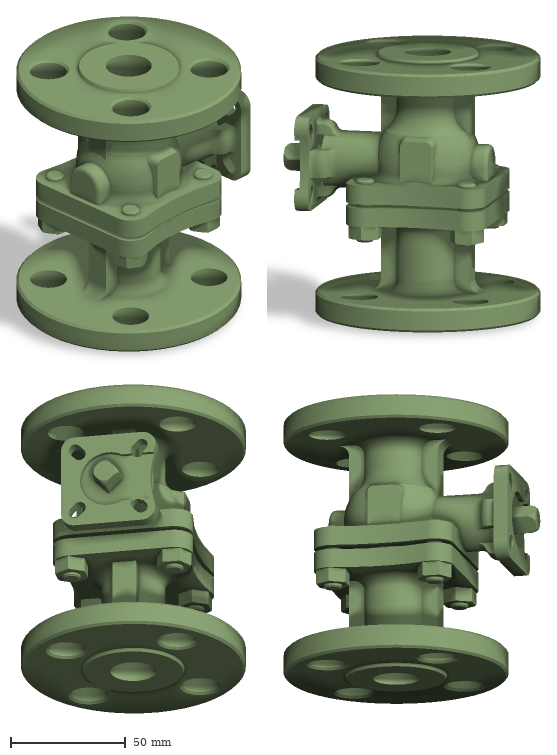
import cadquery as cq
import math

LENGTH = 117.0
HALF_LENGTH = LENGTH / 2
BORE_DIA = 20.0

FLANGE_DIA = 98.0
FLANGE_CHAMFER = 1.0
FACE_HEIGHT = 1.4
FACE_TOP_RADIUS = 21.6
FACE_BASE_RADIUS = 22.3
FLANGE_OUTER_Z = HALF_LENGTH - FACE_HEIGHT
FLANGE_INNER_Z = 46.6
FLANGE_HOLE_DIA = 16.0
FLANGE_HOLE_CHAMFER = 1.0
FLANGE_HOLE_CIRCLE = 70.0
FLANGE_HOLE_COUNT = 4
FLANGE_HOLE_START_ANGLE = 45
FLANGE_HOLE_CHAMFER_ANGLE = 90

NECK_RADIUS = 13.9
FLARE_RADIUS = 4.8
RIB_WIDTH = 10.3
RIB_REACH = 19.9

JOINT_HALF_WIDTH = 31.0
JOINT_CORNER_RADIUS = 8.2
BOLT_OFFSET = JOINT_HALF_WIDTH - JOINT_CORNER_RADIUS
BODY_JOINT_TOP = 3.6
BODY_JOINT_BOTTOM = -4.7
CAP_JOINT_TOP = -6.4
CAP_JOINT_BOTTOM = -14.6
BODY_WAIST_DEPTH = 2.3
CAP_WAIST_DEPTH = 3.5
SPIGOT_RADIUS = 22.8
GASKET_RADIUS = 23.4
SPIGOT_BOTTOM = -5.5

BOLT_DIA = 8.0
BOLT_TOP = 5.3
BOLT_BOTTOM = -22.2
BOLT_CHAMFER = 0.7
NUT_CORNER_DIA = 15.2
NUT_HEIGHT = 6.1
NUT_CHAMFER = 0.5

HOUSING_RADIUS = 22.9
HOUSING_FOOT_FILLET = 3.9
HOUSING_BELT_TOP = 11.3
DOME_TOP_Z = 24.3
SHOULDER_RADIUS = 17.3
SHOULDER_Z = 25.6
NECK_ROOT_RADIUS = 16.1
NECK_ROOT_Z = 27.0
HOUSING_NECK_Z = 33.3

STEM_Z = 9.6
HUB_DIA = 25.0
HUB_END_Y = 45.0
STEM_DIA = 12.2
STEM_ACROSS_FLATS = 9.0
STEM_END_Y = 63.5
STEM_TIP_RADIUS = 4.6
STEM_TIP_LENGTH = 3.3

PLATE_HALF = 21.0
PLATE_BACK_Y = 48.9
PLATE_FRONT_Y = 55.0
PLATE_CORNER_RADIUS = 6.0
PLATE_WAIST_DEPTH = 2.6
RECESS_DEPTH = 2.1
RECESS_MOUTH_WIDTH = 22.0
CORNER_PAD_RADIUS = 5.0
SLOT_WIDTH = 5.5
SLOT_INNER_RADIUS = 18.0
SLOT_OUTER_RADIUS = 21.0
LEG_WIDTH = 12.0
LEG_INNER_RADIUS = 13.0
LEG_OUTER_RADIUS = 17.1
LEG_ROOT_FILLET = 2.0
LEG_BEND_START_Y = 45.4
LEG_BEND_END_Y = 38.0
LEG_OVERLAP = 1.2

BOSS_RADIUS = 9.0
BOSS_REACH = 28.5
BOSS_EDGE_FILLET = 2.0
LUG_REACH = 24.0
LUG_DEPTH = 10.5
LUG_FACE_WIDTH = 13.8
LUG_FACE_TOP = 22.7
LUG_CORNER_RADIUS = 2.3
LUG_DRAFT = 15.0


def disc(radius, z_low, z_high):
    return cq.Workplane("XY").workplane(offset=z_low).circle(radius).extrude(z_high - z_low)


def along_y(y):
    """Plane facing +Y, centred on the stem axis; local x is X and local y is -Z."""
    return cq.Workplane(cq.Plane((0, y, STEM_Z), (1, 0, 0), (0, 1, 0)))


def pipe_flange():
    """Upper pipe flange with raised face and chamfered bolt holes."""
    plate = disc(FLANGE_DIA / 2, FLANGE_INNER_Z, FLANGE_OUTER_Z).edges().chamfer(FLANGE_CHAMFER)
    face = (
        cq.Workplane("XZ")
        .moveTo(0, FLANGE_OUTER_Z)
        .lineTo(FACE_BASE_RADIUS, FLANGE_OUTER_Z)
        .lineTo(FACE_TOP_RADIUS, HALF_LENGTH)
        .lineTo(0, HALF_LENGTH)
        .close()
        .revolve(360, (0, 0, 0), (0, 1, 0))
    )
    chamfer_dia = FLANGE_HOLE_DIA + 2 * FLANGE_HOLE_CHAMFER
    return (
        plate.faces(">Z")
        .workplane(origin=(0, 0, FLANGE_OUTER_Z))
        .polarArray(FLANGE_HOLE_CIRCLE / 2, FLANGE_HOLE_START_ANGLE, 360, FLANGE_HOLE_COUNT)
        .cskHole(FLANGE_HOLE_DIA, chamfer_dia, FLANGE_HOLE_CHAMFER_ANGLE)
        .union(face)
    )


def flared_profile(half_width, z_low, z_high, flare_low, flare_high, plane):
    """Half outline of a column that can flare out through a fillet at either end."""
    flare_mid = FLARE_RADIUS * (1 - math.sqrt(0.5))
    wide = half_width + FLARE_RADIUS
    mid = half_width + flare_mid
    profile = cq.Workplane(plane).moveTo(0, z_low)
    if flare_low:
        profile = profile.lineTo(wide, z_low)
        profile = profile.threePointArc((mid, z_low + flare_mid), (half_width, z_low + FLARE_RADIUS))
    else:
        profile = profile.lineTo(half_width, z_low)
    if flare_high:
        profile = profile.lineTo(half_width, z_high - FLARE_RADIUS)
        profile = profile.threePointArc((mid, z_high - flare_mid), (wide, z_high))
    else:
        profile = profile.lineTo(half_width, z_high)
    return profile.lineTo(0, z_high).close()


def ribbed_neck(z_low, z_high, flare_low, flare_high, rib_flare_low, rib_flare_high):
    """Round neck with a flat rib on its +Y and -Y sides."""
    neck = flared_profile(NECK_RADIUS, z_low, z_high, flare_low, flare_high, "XZ")
    neck = neck.revolve(360, (0, 0, 0), (0, 1, 0))
    rib = flared_profile(RIB_REACH, z_low, z_high, rib_flare_low, rib_flare_high, "YZ")
    rib = rib.extrude(RIB_WIDTH / 2, both=True)
    return neck.union(rib).union(rib.mirror("XZ"))


def housing():
    """Spherical ball housing that narrows to the upper neck."""
    foot_radius = HOUSING_RADIUS + HOUSING_FOOT_FILLET
    dome_height = DOME_TOP_Z - HOUSING_BELT_TOP
    dome_top_radius = math.sqrt(HOUSING_RADIUS**2 - dome_height**2)
    return (
        cq.Workplane("XZ")
        .moveTo(0, FLANGE_INNER_Z)
        .lineTo(NECK_RADIUS, FLANGE_INNER_Z)
        .lineTo(NECK_RADIUS, HOUSING_NECK_Z)
        .tangentArcPoint((NECK_ROOT_RADIUS, NECK_ROOT_Z), relative=False)
        .lineTo(SHOULDER_RADIUS, SHOULDER_Z)
        .lineTo(dome_top_radius, DOME_TOP_Z)
        .radiusArc((HOUSING_RADIUS, HOUSING_BELT_TOP), HOUSING_RADIUS)
        .lineTo(HOUSING_RADIUS, BODY_JOINT_TOP + HOUSING_FOOT_FILLET)
        .tangentArcPoint((foot_radius, BODY_JOINT_TOP), relative=False)
        .lineTo(0, BODY_JOINT_TOP)
        .close()
        .revolve(360, (0, 0, 0), (0, 1, 0))
    )


def waist_tangent(corner_center, corner_radius, waist_depth):
    """Point where a corner arc runs into the inward arc across the middle of a plate side."""
    angle = 2 * math.atan(waist_depth / corner_center)
    across = corner_center + corner_radius * math.cos(angle)
    along = corner_center - corner_radius * math.sin(angle)
    return across, along


def joint_plate(z_low, z_high, waist_depth):
    """Four-cornered plate: straight on the Y sides, drawn in by a shallow arc on the X sides."""
    tangent_x, tangent_y = waist_tangent(BOLT_OFFSET, JOINT_CORNER_RADIUS, waist_depth)
    waist_x = JOINT_HALF_WIDTH - waist_depth
    return (
        cq.Workplane("XY")
        .workplane(offset=z_low)
        .moveTo(-BOLT_OFFSET, -JOINT_HALF_WIDTH)
        .lineTo(BOLT_OFFSET, -JOINT_HALF_WIDTH)
        .tangentArcPoint((tangent_x, -tangent_y), relative=False)
        .threePointArc((waist_x, 0), (tangent_x, tangent_y))
        .tangentArcPoint((BOLT_OFFSET, JOINT_HALF_WIDTH), relative=False)
        .lineTo(-BOLT_OFFSET, JOINT_HALF_WIDTH)
        .tangentArcPoint((-tangent_x, tangent_y), relative=False)
        .threePointArc((-waist_x, 0), (-tangent_x, -tangent_y))
        .tangentArcPoint((-BOLT_OFFSET, -JOINT_HALF_WIDTH), relative=False)
        .close()
        .extrude(z_high - z_low)
    )


def bolt_with_nut():
    """Bolt on the -X, -Y corner with a nut whose corners point along Y."""
    bolt = disc(BOLT_DIA / 2, BOLT_BOTTOM, BOLT_TOP).edges().chamfer(BOLT_CHAMFER)
    nut_bottom = CAP_JOINT_BOTTOM - NUT_HEIGHT
    hexagon = (
        cq.Workplane("XY")
        .workplane(offset=nut_bottom)
        .polygon(6, NUT_CORNER_DIA)
        .extrude(NUT_HEIGHT)
        .rotate((0, 0, 0), (0, 0, 1), 90)
    )
    rounding = disc(NUT_CORNER_DIA / 2, nut_bottom, CAP_JOINT_BOTTOM).faces("<Z").chamfer(NUT_CHAMFER)
    nut = hexagon.intersect(rounding)
    return bolt.union(nut).translate((-BOLT_OFFSET, -BOLT_OFFSET, 0))


def stem():
    """Round stem with a squared, rounded-over end, its corners on the X and Z directions."""
    square_start_y = PLATE_FRONT_Y - RECESS_DEPTH
    radius = STEM_DIA / 2
    shaft = (
        cq.Workplane("XY")
        .moveTo(0, 0)
        .lineTo(radius, 0)
        .lineTo(radius, STEM_END_Y - STEM_TIP_LENGTH)
        .tangentArcPoint((STEM_TIP_RADIUS, STEM_END_Y), relative=False)
        .lineTo(0, STEM_END_Y)
        .close()
        .revolve(360, (0, 0, 0), (0, 1, 0))
        .translate((0, 0, STEM_Z))
    )
    waste = (
        along_y(square_start_y)
        .transformed(rotate=(0, 0, 45))
        .rect(2 * STEM_DIA, 2 * STEM_DIA)
        .rect(STEM_ACROSS_FLATS, STEM_ACROSS_FLATS)
        .extrude(STEM_END_Y - square_start_y)
    )
    return shaft.cut(waste)


def plate_legs():
    """Four legs cut from one S-shaped ring between the hub and the back of the actuator plate."""
    hub_radius = HUB_DIA / 2
    bend_middle = ((LEG_OUTER_RADIUS + hub_radius) / 2, (LEG_BEND_START_Y + LEG_BEND_END_Y) / 2)
    ring = (
        cq.Workplane("XY")
        .moveTo(LEG_INNER_RADIUS, PLATE_BACK_Y)
        .lineTo(LEG_OUTER_RADIUS + LEG_ROOT_FILLET, PLATE_BACK_Y)
        .radiusArc((LEG_OUTER_RADIUS, PLATE_BACK_Y - LEG_ROOT_FILLET), -LEG_ROOT_FILLET)
        .lineTo(LEG_OUTER_RADIUS, LEG_BEND_START_Y)
        .tangentArcPoint(bend_middle, relative=False)
        .tangentArcPoint((hub_radius, LEG_BEND_END_Y), relative=False)
        .lineTo(hub_radius - LEG_OVERLAP, LEG_BEND_END_Y)
        .lineTo(hub_radius - LEG_OVERLAP, HUB_END_Y)
        .lineTo(LEG_INNER_RADIUS, HUB_END_Y)
        .close()
        .revolve(360, (0, 0, 0), (0, 1, 0))
        .translate((0, 0, STEM_Z))
    )
    span = 2 * PLATE_HALF
    leg_length = PLATE_BACK_Y - LEG_BEND_END_Y
    cross_plane = along_y(LEG_BEND_END_Y)
    cross = cross_plane.rect(span, LEG_WIDTH).extrude(leg_length)
    cross = cross.union(cross_plane.rect(LEG_WIDTH, span).extrude(leg_length))
    return ring.intersect(cross)


def actuator_plate():
    """Square plate with a waisted -X side, a recess open to that side and four diagonal slots."""
    center = PLATE_HALF - PLATE_CORNER_RADIUS
    thickness = PLATE_FRONT_Y - PLATE_BACK_Y
    tangent_x, tangent_z = waist_tangent(center, PLATE_CORNER_RADIUS, PLATE_WAIST_DEPTH)
    plate = (
        along_y(PLATE_BACK_Y)
        .moveTo(-center, -PLATE_HALF)
        .lineTo(center, -PLATE_HALF)
        .tangentArcPoint((PLATE_HALF, -center), relative=False)
        .lineTo(PLATE_HALF, center)
        .tangentArcPoint((center, PLATE_HALF), relative=False)
        .lineTo(-center, PLATE_HALF)
        .tangentArcPoint((-tangent_x, tangent_z), relative=False)
        .threePointArc((-PLATE_HALF + PLATE_WAIST_DEPTH, 0), (-tangent_x, -tangent_z))
        .tangentArcPoint((-center, -PLATE_HALF), relative=False)
        .close()
        .extrude(thickness)
    )

    pad_middle = PLATE_HALF - PLATE_CORNER_RADIUS / 2
    corner_pad = (
        along_y(PLATE_BACK_Y)
        .center(-pad_middle, -pad_middle)
        .rect(PLATE_CORNER_RADIUS, PLATE_CORNER_RADIUS)
        .extrude(thickness - RECESS_DEPTH)
        .edges("|Y and <X and >Z")
        .fillet(CORNER_PAD_RADIUS)
    )

    recess_floor = along_y(PLATE_FRONT_Y - RECESS_DEPTH)
    recess = recess_floor.circle(HUB_DIA / 2).extrude(RECESS_DEPTH)
    mouth = (
        recess_floor.center(-PLATE_HALF / 2, 0)
        .rect(PLATE_HALF, RECESS_MOUTH_WIDTH)
        .extrude(RECESS_DEPTH)
    )
    plate = plate.union(corner_pad).cut(recess).cut(mouth)

    slot_length = SLOT_OUTER_RADIUS - SLOT_INNER_RADIUS + SLOT_WIDTH
    slot_middle = (SLOT_OUTER_RADIUS + SLOT_INNER_RADIUS) / 2
    for angle in (45, 135, 225, 315):
        slot = (
            along_y(PLATE_BACK_Y)
            .transformed(rotate=(0, 0, angle))
            .center(slot_middle, 0)
            .slot2D(slot_length, SLOT_WIDTH)
            .extrude(thickness)
        )
        plate = plate.cut(slot)
    return plate


def stem_mount():
    """Hub, stem, legs and actuator plate on the +Y side."""
    hub = along_y(0).circle(HUB_DIA / 2).extrude(HUB_END_Y)
    return hub.union(stem()).union(plate_legs()).union(actuator_plate())


def front_boss():
    """Arched boss on the -Y side of the housing with a rounded front edge."""
    arch = along_y(-BOSS_REACH).circle(BOSS_RADIUS).extrude(BOSS_REACH)
    leg_height = STEM_Z - BODY_JOINT_BOTTOM
    base = (
        along_y(-BOSS_REACH)
        .center(0, leg_height / 2)
        .rect(2 * BOSS_RADIUS, leg_height)
        .extrude(BOSS_REACH)
    )
    return arch.union(base).faces("<Y").edges("not <Z").fillet(BOSS_EDGE_FILLET)


def side_lug():
    """Drafted lug on the +X side of the housing with rounded top corners."""
    half_width = LUG_FACE_WIDTH / 2
    shoulder_z = LUG_FACE_TOP - LUG_CORNER_RADIUS
    return (
        cq.Workplane(cq.Plane((LUG_REACH, 0, 0), (0, -1, 0), (-1, 0, 0)))
        .moveTo(-half_width, BODY_JOINT_TOP)
        .lineTo(half_width, BODY_JOINT_TOP)
        .lineTo(half_width, shoulder_z)
        .tangentArcPoint((half_width - LUG_CORNER_RADIUS, LUG_FACE_TOP), relative=False)
        .lineTo(-half_width + LUG_CORNER_RADIUS, LUG_FACE_TOP)
        .tangentArcPoint((-half_width, shoulder_z), relative=False)
        .close()
        .extrude(LUG_DEPTH, taper=-LUG_DRAFT)
    )


flange = pipe_flange()
upper_neck = ribbed_neck(HOUSING_BELT_TOP, FLANGE_INNER_Z, False, True, False, True)
lower_neck = ribbed_neck(-FLANGE_INNER_Z, CAP_JOINT_BOTTOM, True, True, True, False)
body = flange.union(upper_neck).union(housing())
body = body.union(joint_plate(BODY_JOINT_BOTTOM, BODY_JOINT_TOP, BODY_WAIST_DEPTH))
body = body.union(disc(SPIGOT_RADIUS, SPIGOT_BOTTOM, BODY_JOINT_BOTTOM))
body = body.union(disc(GASKET_RADIUS, CAP_JOINT_TOP, SPIGOT_BOTTOM))
body = body.union(joint_plate(CAP_JOINT_BOTTOM, CAP_JOINT_TOP, CAP_WAIST_DEPTH))
body = body.union(lower_neck).union(flange.mirror("XY"))

lug = side_lug()
body = body.union(stem_mount()).union(front_boss()).union(lug).union(lug.mirror("YZ"))

corner_bolt = bolt_with_nut()
for turn in range(4):
    body = body.union(corner_bolt.rotate((0, 0, 0), (0, 0, 1), 90 * turn))

result = body.cut(disc(BORE_DIA / 2, -HALF_LENGTH, HALF_LENGTH))